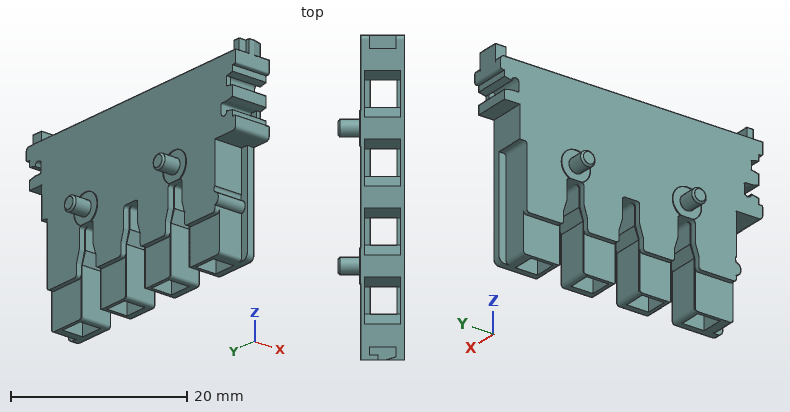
import cadquery as cq

LENGTH = 36.9
HALF_LENGTH = LENGTH / 2
THICKNESS = 4.98
BODY_TOP = 23.95
OVERALL_HEIGHT = 25.8

SHOULDER_Z = 14.02
CORE_HALF = 14.75
FLANGE_HALF = 15.75
FLANGE_THICKNESS = 1.0
FLANGE_X = THICKNESS - FLANGE_THICKNESS
FLANGE_FILLET = 0.75
SHOULDER_FILLET = 0.35

GROOVE_WALL_Y = 16.85
LIP_Y = 17.9
LIP_SLOPE = 0.22
UPPER_GROOVE = (19.93, 21.15)
LOWER_GROOVE = (16.83, 18.05)
RIM_BOTTOM = 22.18
LOWER_RIM_TOP = 15.83
LATCH_BOTTOM = 18.45
END_FILLET = 0.5
RIM_FILLET = 0.22

POCKET_WIDTH = 1.0
POCKET_ROUND = 0.48
POCKET_OVERRUN = POCKET_ROUND
POCKET_CORNER = 0.22
WEB = 0.55

PITCH = 7.82
ROW_CENTRE = 0.07
LEG_COUNT = 4
GAP_COUNT = LEG_COUNT - 1
LEG_CENTRES = [ROW_CENTRE + (i - (LEG_COUNT - 1) / 2) * PITCH for i in range(LEG_COUNT)]
GAP_CENTRES = [ROW_CENTRE + (i - (GAP_COUNT - 1) / 2) * PITCH for i in range(GAP_COUNT)]
GAP_TOP = 11.07
GAP_TAPER_TOP = 8.3
GAP_TAPER_BOTTOM = 6.68
GAP_NARROW = 2.03
GAP_WIDE = 3.2
GAP_CORNER = 0.37
FRONT_GAP_NARROW = 2.4
FRONT_GAP_WIDE = 3.4
FRONT_GAP_DEPTH = 0.77
FRONT_LAYER = 0.65
FRONT_LAYER_BOTTOM = 5.0
LEG_FILLET = 0.4

WELL_X = (0.45, 4.55)
WELL_LENGTH = 5.3
PASSAGE_X = (1.1, 4.1)
PASSAGE_LENGTH = 3.1
WELL_TAPER_TOP = GAP_TOP
WELL_TAPER_BOTTOM = 9.0

PIN_Z = 12.9
PIN_RADIUS = 1.015
PIN_REACH = 2.6
PIN_CHAMFER = 0.24
COLLAR_RADIUS = 2.03
COLLAR_HEIGHT = 0.1

TAB_X = (1.0, 4.0)
TAB_LENGTH = 1.5
TAB_NOTCH_X = 2.0
TAB_NOTCH_DEPTH = 0.6
TAB_BEVEL_X = 2.75
TAB_BEVEL_DEPTH = 0.37

RIB_CREST_Y = -15.4
RIB_Z = 6.68
RIB_HALF_HEIGHT = 0.8
RELIEF_TOP = 8.23
RELIEF_DEPTH = 0.15


def box(x_range, y_range, z_range):
    """Axis-aligned block between the given limits."""
    (x0, x1), (y0, y1), (z0, z1) = x_range, y_range, z_range
    return cq.Workplane("XY").box(x1 - x0, y1 - y0, z1 - z0, centered=False).translate((x0, y0, z0))


def slab(points, x0, x1):
    """Closed (Y, Z) polygon extruded from x0 to x1."""
    return cq.Workplane("YZ", origin=(x0, 0, 0)).polyline(points).close().extrude(x1 - x0)


def fillet_corner(body, y, z, radius):
    """Round the edge along X that passes through (y, z)."""
    x_middle = body.val().Center().x
    edge = cq.selectors.NearestToPointSelector((x_middle, y, z))
    return body.edges("|X").edges(edge).fillet(radius)


def groove_points(side, groove):
    """Groove mouth and wall points, listed from top to bottom, on the given Y side."""
    bottom, top = groove
    return [
        (side * LIP_Y, top + LIP_SLOPE),
        (side * GROOVE_WALL_Y, top),
        (side * GROOVE_WALL_Y, bottom),
        (side * LIP_Y, bottom - LIP_SLOPE),
    ]


def upper_body():
    left_end = [
        (HALF_LENGTH, BODY_TOP),
        (HALF_LENGTH, RIM_BOTTOM),
        (LIP_Y, RIM_BOTTOM),
        *groove_points(1, UPPER_GROOVE),
        (LIP_Y, LATCH_BOTTOM),
        (FLANGE_HALF, LATCH_BOTTOM),
        (FLANGE_HALF, SHOULDER_Z),
    ]
    right_end = [
        (-HALF_LENGTH, BODY_TOP),
        (-HALF_LENGTH, RIM_BOTTOM),
        (-LIP_Y, RIM_BOTTOM),
        *groove_points(-1, UPPER_GROOVE),
        *groove_points(-1, LOWER_GROOVE),
        (-LIP_Y, LOWER_RIM_TOP),
        (-HALF_LENGTH, LOWER_RIM_TOP),
        (-HALF_LENGTH, SHOULDER_Z),
    ]
    body = slab(left_end + right_end[::-1], 0, THICKNESS)
    body = fillet_corner(body, HALF_LENGTH, BODY_TOP, END_FILLET)
    body = fillet_corner(body, -HALF_LENGTH, SHOULDER_Z, END_FILLET)
    body = fillet_corner(body, HALF_LENGTH, RIM_BOTTOM, RIM_FILLET)
    body = fillet_corner(body, -HALF_LENGTH, RIM_BOTTOM, RIM_FILLET)
    return fillet_corner(body, -HALF_LENGTH, LOWER_RIM_TOP, RIM_FILLET)


def lower_body():
    """Core split into legs by the gaps, with a flange wing along each outer side."""
    core = box((0, THICKNESS), (-CORE_HALF, CORE_HALF), (0, SHOULDER_Z))
    for centre in GAP_CENTRES:
        core = core.cut(leg_gap(centre, GAP_NARROW, GAP_WIDE, 0, THICKNESS))
    body = core.edges("|X and <Z").fillet(LEG_FILLET)
    for centre in GAP_CENTRES:
        body = body.cut(leg_gap(centre, FRONT_GAP_NARROW, FRONT_GAP_WIDE, 0, FRONT_GAP_DEPTH))
    for side in (-1, 1):
        y_range = sorted((side * (CORE_HALF - LEG_FILLET), side * FLANGE_HALF))
        wing = box((FLANGE_X, THICKNESS), y_range, (0, SHOULDER_Z))
        body = body.union(fillet_corner(wing, side * FLANGE_HALF, 0, FLANGE_FILLET))
    return body


def snap_rib():
    """Rounded rib with its root buried in the core."""
    root_y = -CORE_HALF + RELIEF_DEPTH
    return (
        cq.Workplane("YZ")
        .moveTo(root_y, RIB_Z - RIB_HALF_HEIGHT)
        .lineTo(-CORE_HALF, RIB_Z - RIB_HALF_HEIGHT)
        .threePointArc((RIB_CREST_Y, RIB_Z), (-CORE_HALF, RIB_Z + RIB_HALF_HEIGHT))
        .lineTo(root_y, RIB_Z + RIB_HALF_HEIGHT)
        .close()
        .extrude(FLANGE_X)
    )


def rib_relief():
    """Shallow hollow in the core just above the snap rib."""
    bottom = RIB_Z + RIB_HALF_HEIGHT
    middle = (bottom + RELIEF_TOP) / 2
    return (
        cq.Workplane("YZ")
        .moveTo(-CORE_HALF, bottom)
        .threePointArc((-CORE_HALF + RELIEF_DEPTH, middle), (-CORE_HALF, RELIEF_TOP))
        .close()
        .extrude(FLANGE_X)
    )


def shoulder_fillet():
    """Concave fillet between the core and the overhanging shoulder on the +Y side."""
    r = SHOULDER_FILLET
    block = box((0, FLANGE_X), (CORE_HALF, CORE_HALF + r), (SHOULDER_Z - r, SHOULDER_Z))
    round_cut = (
        cq.Workplane("YZ")
        .center(CORE_HALF + r, SHOULDER_Z - r)
        .circle(r)
        .extrude(FLANGE_X)
    )
    return block.cut(round_cut)


def end_pocket(side, groove, rises, x0):
    """Pocket behind a groove wall; its full round lies past the top (rises) or bottom of the groove."""
    bottom, top = groove
    z_range = (bottom, top + POCKET_OVERRUN) if rises else (bottom - POCKET_OVERRUN, top)
    inner_y = side * (GROOVE_WALL_Y - POCKET_WIDTH)
    y_range = sorted((inner_y, side * GROOVE_WALL_Y))
    pocket = box((x0, x0 + THICKNESS - WEB), y_range, z_range)
    round_edges = pocket.edges("|X and >Z" if rises else "|X and <Z")
    pocket = round_edges.fillet(POCKET_ROUND)
    return fillet_corner(pocket, inner_y, bottom if rises else top, POCKET_CORNER)


def leg_gap(centre, narrow, wide, x0, x1):
    """Gap between two legs: narrow at the top, flaring to its full width below."""
    points = [
        (centre - wide / 2, 0),
        (centre - wide / 2, GAP_TAPER_BOTTOM),
        (centre - narrow / 2, GAP_TAPER_TOP),
        (centre - narrow / 2, GAP_TOP),
        (centre + narrow / 2, GAP_TOP),
        (centre + narrow / 2, GAP_TAPER_TOP),
        (centre + wide / 2, GAP_TAPER_BOTTOM),
        (centre + wide / 2, 0),
    ]
    return slab(points, x0, x1).edges("|X and >Z").fillet(GAP_CORNER)


def front_recess(y_range):
    """Cut that thins a leg tip below the front layer and rounds the layer's lower corners."""
    x_range = (0, FRONT_LAYER)
    tip = box(x_range, y_range, (0, FRONT_LAYER_BOTTOM + LEG_FILLET))
    layer = box(x_range, y_range, (FRONT_LAYER_BOTTOM, SHOULDER_Z))
    return tip.cut(layer.edges("|X and <Z").fillet(LEG_FILLET))


def well(centre):
    half = WELL_LENGTH / 2
    passage_half = PASSAGE_LENGTH / 2
    points = [
        (centre - half, BODY_TOP),
        (centre - half, WELL_TAPER_TOP),
        (centre - passage_half, WELL_TAPER_BOTTOM),
        (centre + passage_half, WELL_TAPER_BOTTOM),
        (centre + half, WELL_TAPER_TOP),
        (centre + half, BODY_TOP),
    ]
    passage = box(PASSAGE_X, (centre - passage_half, centre + passage_half), (0, BODY_TOP))
    return slab(points, *WELL_X).union(passage)


def pin(centre):
    """Pin with a thin collar whose lower rim is trimmed by the gap beneath it."""
    shaft = cq.Workplane("YZ", origin=(-PIN_REACH, centre, PIN_Z)).circle(PIN_RADIUS).extrude(PIN_REACH)
    shaft = shaft.faces("<X").chamfer(PIN_CHAMFER)
    collar = cq.Workplane("YZ", origin=(0, centre, PIN_Z)).circle(COLLAR_RADIUS).extrude(-COLLAR_HEIGHT)
    collar = collar.cut(leg_gap(centre, FRONT_GAP_NARROW, FRONT_GAP_WIDE, -COLLAR_HEIGHT, 0))
    return shaft.union(collar)


def tabs():
    z_range = (BODY_TOP - END_FILLET, OVERALL_HEIGHT)
    plain_tab = box(TAB_X, (HALF_LENGTH - TAB_LENGTH, HALF_LENGTH), z_range)
    x0, x1 = TAB_X
    keyed_tab = (
        cq.Workplane("XY", origin=(0, -HALF_LENGTH, z_range[0]))
        .polyline([
            (x0, TAB_LENGTH),
            (x0, TAB_NOTCH_DEPTH),
            (TAB_NOTCH_X, TAB_NOTCH_DEPTH),
            (TAB_NOTCH_X, 0),
            (TAB_BEVEL_X, 0),
            (x1, TAB_BEVEL_DEPTH),
            (x1, TAB_LENGTH),
        ])
        .close()
        .extrude(z_range[1] - z_range[0])
    )
    return plain_tab.union(keyed_tab)


result = upper_body().union(lower_body()).union(shoulder_fillet())
result = result.cut(rib_relief())

result = result.cut(end_pocket(1, UPPER_GROOVE, True, 0))
result = result.cut(end_pocket(-1, UPPER_GROOVE, True, WEB))
result = result.cut(end_pocket(-1, LOWER_GROOVE, False, 0))

for pin_centre in (GAP_CENTRES[0], GAP_CENTRES[-1]):
    result = result.union(pin(pin_centre))

gap_edges = [y for c in GAP_CENTRES for y in (c - FRONT_GAP_WIDE / 2, c + FRONT_GAP_WIDE / 2)]
leg_sides = [-CORE_HALF, *gap_edges, CORE_HALF]
for leg_range in zip(leg_sides[::2], leg_sides[1::2]):
    result = result.cut(front_recess(leg_range))

for leg_centre in LEG_CENTRES:
    result = result.cut(well(leg_centre))

result = result.union(snap_rib()).union(tabs())